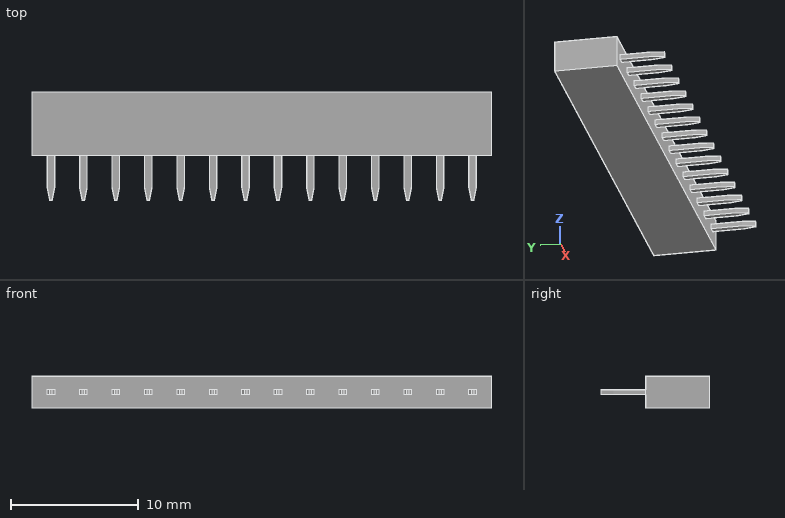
import cadquery as cq

body_length = 36.0
body_depth = 5.0
body_height = 2.5

pin_count = 14
pin_pitch = 2.54
pin_length = 3.5
pin_width = 0.6
pin_thickness = 0.4
tip_length = 1.0
tip_width = 0.2

pin_embed = 1.0


def make_body():
    return cq.Workplane("XY").box(
        body_length, body_depth, body_height, centered=(True, False, True)
    )


def make_pin(x):
    """Flat pin at the given X, with straight tapers on both sides of its tip."""
    half_width = pin_width / 2
    half_tip = tip_width / 2
    taper_start_y = tip_length - pin_length
    outline = [
        (x - half_width, pin_embed),
        (x - half_width, taper_start_y),
        (x - half_tip, -pin_length),
        (x + half_tip, -pin_length),
        (x + half_width, taper_start_y),
        (x + half_width, pin_embed),
    ]
    return cq.Workplane("XY").polyline(outline).close().extrude(pin_thickness / 2, both=True)


first_pin_x = -pin_pitch * (pin_count - 1) / 2

result = make_body()
for index in range(pin_count):
    result = result.union(make_pin(first_pin_x + index * pin_pitch))